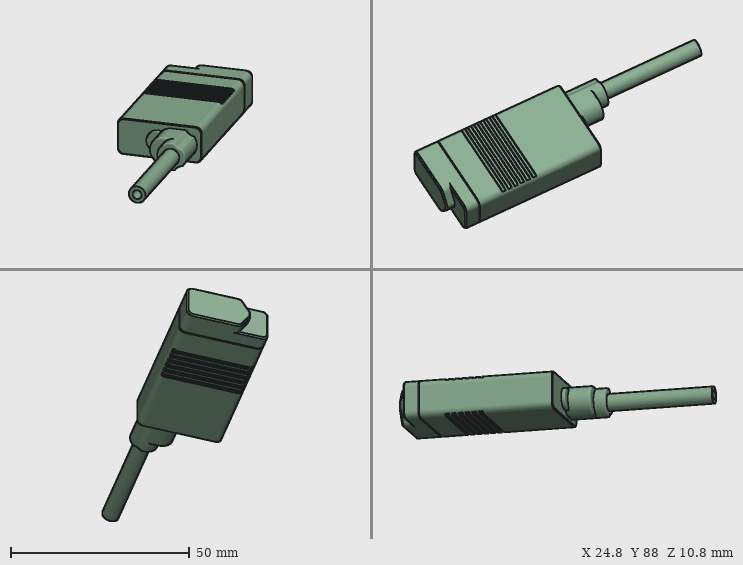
import cadquery as cq
import math

overall_length = 88.0
width = 24.8
height = 10.8
half_height = height / 2
edge_radius = 1.85
back_y = overall_length / 2
housing_length = 46.5
front_y = back_y - housing_length
front_chamfer = 0.3

cap_length = 7.3
cap_front_y = back_y - cap_length
step_depth = 2.8
step_y = back_y - step_depth
cap_chamfer = 0.4
nose_shoulder_x = -3.5
nose_tip_x = -6.3
nose_tip_half_height = 0.9
nose_tip_radius = 1.1

seam_width = 0.2
seam_depth = 0.2
body_back_y = cap_front_y - seam_width

groove_count = 6
groove_width = 1.1
groove_depth = 0.5
groove_span = 9.9
groove_pitch = groove_span / (groove_count - 1)
first_groove_distance = 15.5
first_groove_y = back_y - first_groove_distance

cable_x = 6.95
boot_radius = 4.1
foot_end_x = -0.5
foot_radius = 3.1
foot_length = 1.1
foot_fillet = 0.3
sleeve_end_x = 3.6
sleeve_length = 7.6
sleeve_fillet = 0.6
collar_length = 10.9
collar_fillet = 0.4

scallop_angle = math.radians(57)
scallop_radius = 3.1
scallop_depth = 0.5
scallop_lip_radius = 0.6

cable_radius = 2.5
core_radius = 1.3
cable_length = overall_length - housing_length - collar_length


def section_plane(x, y):
    """Plane across the cable direction; extruding from it goes toward -Y."""
    return cq.Workplane("XZ", origin=(x, y, 0))


def housing_block(start_y, end_y):
    return (
        section_plane(0, start_y)
        .rect(width, height)
        .extrude(start_y - end_y)
        .edges("|Y")
        .fillet(edge_radius)
    )


def make_nose_block():
    """Back part of the cap, from +X to the pointed nose in the stepped corner."""
    outline = [
        (width / 2, half_height),
        (nose_shoulder_x, half_height),
        (nose_tip_x, nose_tip_half_height),
        (nose_tip_x, -nose_tip_half_height),
        (nose_shoulder_x, -half_height),
        (width / 2, -half_height),
    ]
    block = section_plane(0, back_y).polyline(outline).close().extrude(cap_length)
    block = block.edges("|Y and (>Z or <Z)").fillet(edge_radius)
    block = block.edges("|Y and <X").fillet(nose_tip_radius)
    return block.faces(">Y").chamfer(cap_chamfer)


def make_cap():
    """Stepped block and nose, with a thin recessed neck that rests against the body."""
    stepped_block = housing_block(step_y, cap_front_y).faces(">Y").chamfer(cap_chamfer)
    neck = (
        section_plane(0, cap_front_y)
        .rect(width - 2 * seam_depth, height - 2 * seam_depth)
        .extrude(seam_width)
        .edges("|Y")
        .fillet(edge_radius - seam_depth)
    )
    return stepped_block.union(make_nose_block()).union(neck)


def make_grooves():
    grooves = cq.Workplane()
    for index in range(groove_count):
        groove_y = first_groove_y - index * groove_pitch
        for face_z in (half_height, -half_height):
            bar = cq.Workplane(origin=(0, groove_y, face_z)).box(width, groove_width, 2 * groove_depth)
            grooves = grooves.add(bar)
    return grooves.combine()


def slot_block(end_x, radius, length, end_fillet):
    """Block with a slot section from end_x to the cable axis, rounded at its front rim."""
    return (
        section_plane((end_x + cable_x) / 2, front_y)
        .slot2D(cable_x - end_x + 2 * radius, 2 * radius)
        .extrude(length)
        .faces("<Y")
        .fillet(end_fillet)
    )


def make_sleeve():
    """Slot block cut off at the cable axis, where the collar takes over."""
    beyond_axis = cq.Workplane(origin=(cable_x + boot_radius, front_y, 0)).box(
        2 * boot_radius, 2 * collar_length, 2 * height
    )
    return slot_block(sleeve_end_x, boot_radius, sleeve_length, sleeve_fillet).cut(beyond_axis)


def make_collar():
    collar = section_plane(cable_x, front_y).circle(boot_radius).extrude(collar_length)
    scallop_distance = boot_radius - scallop_depth + scallop_radius
    scallop_x = scallop_distance * math.cos(scallop_angle)
    scallop_z = scallop_distance * math.sin(scallop_angle)
    scallops = (
        section_plane(cable_x, front_y)
        .pushPoints([(scallop_x, scallop_z), (scallop_x, -scallop_z)])
        .circle(scallop_radius)
        .extrude(collar_length)
    )
    collar = collar.cut(scallops)
    lips = collar.edges("|Y").filter(lambda edge: abs(edge.Center().z) > scallop_depth)
    collar = lips.fillet(scallop_lip_radius)
    return collar.faces("<Y").fillet(collar_fillet)


def make_cable():
    return (
        section_plane(cable_x, front_y - collar_length)
        .circle(cable_radius)
        .circle(core_radius)
        .extrude(cable_length)
    )


def make_body():
    body = housing_block(body_back_y, front_y).faces("<Y").chamfer(front_chamfer)
    body = body.cut(make_grooves())
    foot = slot_block(foot_end_x, foot_radius, foot_length, foot_fillet)
    return body.union(foot).union(make_sleeve()).union(make_collar()).union(make_cable())


cap = make_cap()
body = make_body()

result = cq.Compound.makeCompound([cap.val(), body.val()])